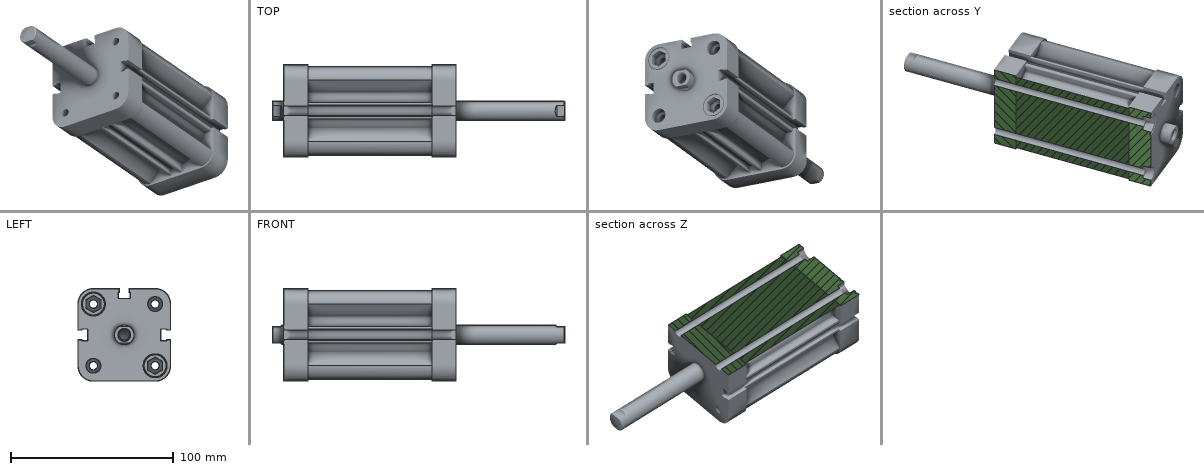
import cadquery as cq
import math


OVERALL_LENGTH = 180.0
REAR_CAP_LENGTH = 15.1
FRONT_CAP_LENGTH = 14.8
BARREL_LENGTH = 76.3
REAR_STUB = 6.8

CAP_SIDE = 57.0
BOLT_SPACING = 38.0
BOLT_OFFSET = BOLT_SPACING / 2
CAP_CORNER_RADIUS = CAP_SIDE / 2 - BOLT_OFFSET
BOLT_HOLE_DIAMETER = 5.0
COUNTERBORE_DIAMETER = 9.2
COUNTERBORE_DEPTH = 5.4
HEX_ACROSS_FLATS = COUNTERBORE_DIAMETER
HEX_DEPTH = COUNTERBORE_DEPTH
SCREW_RECESS_DIAMETER = 14.8
SCREW_HEAD_DIAMETER = 13.5
SCREW_GAP_DEPTH = 1.0

SLOT_FLOOR = 22.5
SLOT_MOUTH_WIDTH = 6.0
SLOT_INNER_WIDTH = 7.2
SLOT_LIP_UNDERSIDE = 26.1

BARREL_HULL_RADIUS = 22.3
ARM_RADIUS = 8.5
ARM_ROOT_FILLET = 1.0
RAIL_ROOT_FILLET = 0.63
RAIL_WIDTH = 10.0
RAIL_TOP = 26.6
RAIL_EDGE_FILLET = 0.9

ROD_DIAMETER = 12.0
ROD_ACROSS_FLATS = 10.0
ROD_FLAT_LENGTH = 5.0
ROD_END_CHAMFER = 0.5
ROD_HOLE_DIAMETER = 6.5
ROD_HOLE_DEPTH = 14.4
ROD_HOLE_CHAMFER = 0.7
DRILL_POINT_ANGLE = 118.0

BARREL_START = REAR_CAP_LENGTH
FRONT_CAP_START = BARREL_START + BARREL_LENGTH
ROD_START = -REAR_STUB
ROD_END = ROD_START + OVERALL_LENGTH

ON_HULL = 0.02

HEX_CORNER_ANGLES = range(0, 360, 60)
QUARTER_TURNS = (0, 90, 180, 270)
CAP_SLOT_TURNS = (0, 90, 270)
BOLT_POINTS = [(y * BOLT_OFFSET, z * BOLT_OFFSET) for y in (-1, 1) for z in (-1, 1)]
SCREW_POINTS = [(y, z) for y, z in BOLT_POINTS if y * z > 0]
COUNTERBORE_POINTS = [(y, z) for y, z in BOLT_POINTS if y * z < 0]


def section_plane(x):
    """Workplane across the cylinder at the given X: local x is Y, local y is Z."""
    return cq.Workplane("YZ", origin=(x, 0, 0))


def turned(shape, angle):
    return shape.rotate((0, 0, 0), (1, 0, 0), angle)


def rod_bore(x, length):
    return section_plane(x).circle(ROD_DIAMETER / 2).extrude(length)


def bolt_holes(x, length):
    return section_plane(x).pushPoints(BOLT_POINTS).circle(BOLT_HOLE_DIAMETER / 2).extrude(length)


def t_slot(x, length):
    """Cutter for the T-slot on the +Z side."""
    top = CAP_SIDE / 2
    mouth = section_plane(x).center(0, (SLOT_FLOOR + top) / 2).rect(SLOT_MOUTH_WIDTH, top - SLOT_FLOOR)
    inner = section_plane(x).center(0, (SLOT_FLOOR + SLOT_LIP_UNDERSIDE) / 2)
    inner = inner.rect(SLOT_INNER_WIDTH, SLOT_LIP_UNDERSIDE - SLOT_FLOOR)
    return mouth.extrude(length).union(inner.extrude(length))


def make_cap(x, length):
    """Rounded square end cap with bolt holes, rod bore and three T-slots."""
    cap = section_plane(x).rect(CAP_SIDE, CAP_SIDE).extrude(length)
    cap = cap.edges("|X").fillet(CAP_CORNER_RADIUS)
    cap = cap.cut(rod_bore(x, length)).cut(bolt_holes(x, length))
    for angle in CAP_SLOT_TURNS:
        cap = cap.cut(turned(t_slot(x, length), angle))
    return cap


def make_rear_cap():
    """End cap with two counterbored holes and two hollow socket-screw heads in its outer face."""
    cap = make_cap(0, REAR_CAP_LENGTH)
    face = section_plane(0)
    cap = cap.cut(
        face.pushPoints(COUNTERBORE_POINTS).circle(COUNTERBORE_DIAMETER / 2).extrude(COUNTERBORE_DEPTH)
    )
    hex_corner_radius = HEX_ACROSS_FLATS / math.sqrt(3)
    hex_corners = [
        (hex_corner_radius * math.sin(math.radians(a)), hex_corner_radius * math.cos(math.radians(a)))
        for a in HEX_CORNER_ANGLES
    ]
    for y, z in SCREW_POINTS:
        centre = face.center(y, z)
        gap = centre.circle(SCREW_RECESS_DIAMETER / 2).circle(SCREW_HEAD_DIAMETER / 2)
        gap = gap.extrude(SCREW_GAP_DEPTH)
        socket = centre.polyline(hex_corners).close().extrude(HEX_DEPTH)
        cap = cap.cut(gap).cut(socket)
    return cap


def corner_arm():
    """Diagonal arm towards +Y +Z that carries one bolt hole and ends in a quarter round."""
    radius = ARM_RADIUS
    tip = BOLT_OFFSET + radius * math.sqrt(0.5)
    return (
        section_plane(BARREL_START)
        .moveTo(0, 0)
        .lineTo(radius, 0)
        .lineTo(BOLT_OFFSET + radius, BOLT_OFFSET)
        .threePointArc((tip, tip), (BOLT_OFFSET, BOLT_OFFSET + radius))
        .lineTo(0, radius)
        .close()
        .extrude(BARREL_LENGTH)
    )


def slot_rail():
    """Rail on the +Z side with rounded outer edges, which holds the T-slot."""
    rail = section_plane(BARREL_START).center(0, RAIL_TOP / 2).rect(RAIL_WIDTH, RAIL_TOP)
    rail = rail.extrude(BARREL_LENGTH)
    return rail.faces(">Z").edges("|X").fillet(RAIL_EDGE_FILLET)


def fillet_roots(barrel, radius):
    """Fillet the inside corners, the lines lying on the hull where arms or rails stand up from it."""
    def is_root(edge):
        middle = edge.Center()
        return math.isclose(math.hypot(middle.y, middle.z), BARREL_HULL_RADIUS, abs_tol=ON_HULL)

    roots = [edge for edge in barrel.edges("|X").vals() if is_root(edge)]
    return barrel.newObject(roots).fillet(radius)


def make_barrel():
    """Extruded barrel: round hull, four corner arms and four slotted rails."""
    barrel = section_plane(BARREL_START).circle(BARREL_HULL_RADIUS).extrude(BARREL_LENGTH)
    for angle in QUARTER_TURNS:
        barrel = barrel.union(turned(corner_arm(), angle))

    barrel = fillet_roots(barrel, ARM_ROOT_FILLET)

    for angle in QUARTER_TURNS:
        barrel = barrel.union(turned(slot_rail(), angle))
    barrel = fillet_roots(barrel, RAIL_ROOT_FILLET)

    for angle in QUARTER_TURNS:
        barrel = barrel.cut(turned(t_slot(BARREL_START, BARREL_LENGTH), angle))
    barrel = barrel.cut(bolt_holes(BARREL_START, BARREL_LENGTH))
    return barrel.cut(rod_bore(BARREL_START, BARREL_LENGTH))


def wrench_flat(end_x, inward):
    """Cutter for the +Z flat at a rod end, with a 45 degree run-out; inward is +1 or -1 along X."""
    flat_height = ROD_ACROSS_FLATS / 2
    surface = ROD_DIAMETER / 2
    run_out = surface - flat_height
    return (
        cq.Workplane("XZ", origin=(end_x, 0, 0))
        .polyline([
            (0, flat_height),
            (inward * ROD_FLAT_LENGTH, flat_height),
            (inward * (ROD_FLAT_LENGTH + run_out), surface),
            (0, surface),
        ])
        .close()
        .extrude(surface, both=True)
    )


def make_rod():
    """Through rod with two wrench flats at each end and a drilled hole in its rear end."""
    rod = section_plane(ROD_START).circle(ROD_DIAMETER / 2).extrude(OVERALL_LENGTH)
    rod = rod.faces(">X").chamfer(ROD_END_CHAMFER)

    for flat in (wrench_flat(ROD_START, 1), wrench_flat(ROD_END, -1)):
        rod = rod.cut(flat).cut(turned(flat, 180))

    hole_radius = ROD_HOLE_DIAMETER / 2
    mouth_radius = hole_radius + ROD_HOLE_CHAMFER
    point_length = hole_radius / math.tan(math.radians(DRILL_POINT_ANGLE / 2))
    hole = (
        cq.Workplane("XY", origin=(ROD_START, 0, 0))
        .polyline([
            (0, 0),
            (0, mouth_radius),
            (ROD_HOLE_CHAMFER, hole_radius),
            (ROD_HOLE_DEPTH, hole_radius),
            (ROD_HOLE_DEPTH + point_length, 0),
        ])
        .close()
        .revolve(360, (0, 0, 0), (1, 0, 0))
    )
    return rod.cut(hole)


rear_cap = make_rear_cap()
front_cap = make_cap(FRONT_CAP_START, FRONT_CAP_LENGTH)
barrel = make_barrel()
rod = make_rod()

result = cq.Compound.makeCompound([rear_cap.val(), front_cap.val(), barrel.val(), rod.val()])